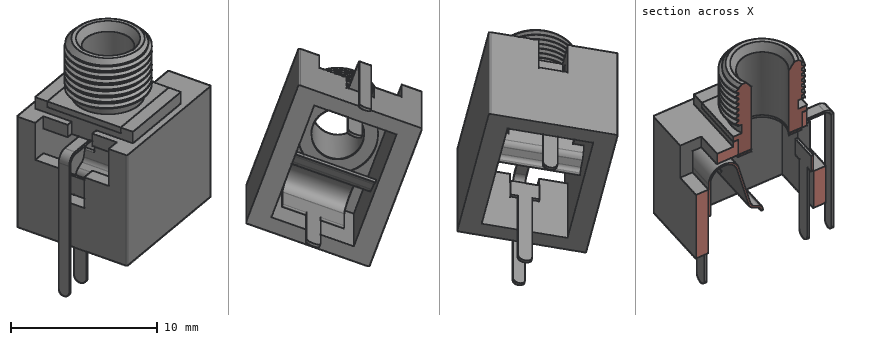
import cadquery as cq
import math


BODY_WIDTH = 9.0
BODY_HEIGHT = 9.0
BODY_FRONT = -4.5
BODY_REAR = 6.0
BODY_EDGE_RADIUS = 0.1
WALL = 1.0
HUMP_WIDTH = 8.0
HUMP_DEPTH = 6.0
HUMP_HEIGHT = 0.94
CAVITY_WIDTH = 6.0
SLOT_WIDTH = 2.02
FRONT_WINDOW_FLOOR = 6.0
FRONT_SLOT_FLOOR = 3.5
REAR_SLOT_FLOOR = 6.0
REAR_SLOT_FRONT = 4.28

ROOF_BOTTOM = BODY_HEIGHT - WALL
HUMP_TOP = BODY_HEIGHT + HUMP_HEIGHT
CAVITY_FRONT = BODY_FRONT + WALL
CAVITY_REAR = BODY_REAR - WALL

BORE_DIAMETER = 3.6
SPIGOT_DIAMETER = 5.5
FLANGE_SIZE = CAVITY_WIDTH
FLANGE_THICKNESS = 0.47
NECK_DIAMETER = 5.0
NECK_HEIGHT = 0.75
BUSHING_TOP = 14.5
MOUTH_DIAMETER = 4.4
MOUTH_DEPTH = 0.61
TOP_DIAMETER = 5.0

THREAD_DIAMETER = 6.01
THREAD_CORE_DIAMETER = 5.5
THREAD_PITCH = 0.5
THREAD_BASE = 0.45
THREAD_CREST = 0.07
THREAD_ROOT_OVERLAP = 0.05
THREAD_FIRST_CREST = 0.15
THREAD_TURNS = 9
THREAD_CLEARANCE = 0.18

FLANGE_BOTTOM = HUMP_TOP - FLANGE_THICKNESS
THREAD_BOTTOM = HUMP_TOP + NECK_HEIGHT
THREAD_START = THREAD_BOTTOM + THREAD_FIRST_CREST - THREAD_PITCH

SHEET = 0.2
PIN_BOTTOM = -3.5
PIN_WIDTH = 1.0
SHOULDER_HEIGHT = FRONT_SLOT_FLOOR
SWITCH_TOP = 5.0

SLEEVE_PIN_WIDTH = 0.85
SLEEVE_PIN_OUTSIDE = -5.5
SLEEVE_BEND_RADIUS = 0.75

TIP_WIDTH = 4.5
TIP_TOP = 7.74
TIP_BEND_RADIUS = 1.26
TIP_LEAN = math.radians(14)
TIP_KINK_Z = 2.95
NOSE_WIDTH = CAVITY_WIDTH
NOSE_SHOULDER = 0.54
NOSE_FLAT_START = (1.39, 2.57)
NOSE_FLAT_END = (0.94, 2.35)
NOSE_TIP = (0.65, 1.93)


def block(x_size, y_min, y_max, z_min, z_max):
    """Box centred on X = 0."""
    return cq.Workplane("XY").box(
        x_size, y_max - y_min, z_max - z_min, centered=(True, False, False)
    ).translate((0, y_min, z_min))


def disc(diameter, z_min, z_max):
    """Cylinder on the Z axis."""
    return cq.Workplane("XY", origin=(0, 0, z_min)).circle(diameter / 2).extrude(z_max - z_min)


def make_housing():
    body = block(BODY_WIDTH, BODY_FRONT, BODY_REAR, 0, BODY_HEIGHT)
    body = body.edges("|Z").fillet(BODY_EDGE_RADIUS)
    half_hump = HUMP_DEPTH / 2
    body = body.union(block(HUMP_WIDTH, -half_hump, half_hump, BODY_HEIGHT, HUMP_TOP))

    body = body.cut(block(CAVITY_WIDTH, CAVITY_FRONT, CAVITY_REAR, 0, ROOF_BOTTOM))

    body = body.cut(block(CAVITY_WIDTH, BODY_FRONT, CAVITY_FRONT, FRONT_WINDOW_FLOOR, BODY_HEIGHT))
    body = body.cut(block(SLOT_WIDTH, BODY_FRONT, CAVITY_FRONT, FRONT_SLOT_FLOOR, FRONT_WINDOW_FLOOR))
    body = body.cut(block(SLOT_WIDTH, CAVITY_FRONT, -half_hump, ROOF_BOTTOM, BODY_HEIGHT))

    body = body.cut(block(SLOT_WIDTH, REAR_SLOT_FRONT, BODY_REAR, REAR_SLOT_FLOOR, BODY_HEIGHT))

    body = body.cut(block(FLANGE_SIZE, -half_hump, half_hump, FLANGE_BOTTOM, HUMP_TOP))
    return body.cut(disc(SPIGOT_DIAMETER, ROOF_BOTTOM, HUMP_TOP))


def make_thread_ridge():
    """Right-handed ridge, longer than the thread at both ends."""
    inner = THREAD_CORE_DIAMETER / 2 - THREAD_ROOT_OVERLAP
    outer = THREAD_DIAMETER / 2
    half_base = THREAD_BASE / 2
    half_crest = THREAD_CREST / 2
    path = cq.Wire.makeHelix(THREAD_PITCH, THREAD_PITCH * THREAD_TURNS, inner)
    ridge = (
        cq.Workplane("XZ")
        .polyline([(inner, -half_base), (outer, -half_crest), (outer, half_crest), (inner, half_base)])
        .close()
        .sweep(cq.Workplane(obj=path), isFrenet=True)
    )
    return ridge.translate((0, 0, THREAD_START))


def make_bushing():
    envelope_diameter = THREAD_DIAMETER + 2 * THREAD_CLEARANCE
    chamfer = (envelope_diameter - TOP_DIAMETER) / 2
    envelope = disc(envelope_diameter, THREAD_BOTTOM, BUSHING_TOP).faces(">Z").chamfer(chamfer)
    core = disc(THREAD_CORE_DIAMETER, THREAD_BOTTOM, BUSHING_TOP)
    threaded = core.union(make_thread_ridge()).intersect(envelope)

    half_flange = FLANGE_SIZE / 2
    bushing = disc(SPIGOT_DIAMETER, ROOF_BOTTOM, FLANGE_BOTTOM)
    bushing = bushing.union(block(FLANGE_SIZE, -half_flange, half_flange, FLANGE_BOTTOM, HUMP_TOP))
    bushing = bushing.union(disc(NECK_DIAMETER, HUMP_TOP, THREAD_BOTTOM))
    bushing = bushing.union(threaded)

    bushing = bushing.cut(disc(BORE_DIAMETER, ROOF_BOTTOM, BUSHING_TOP))
    mouth = (
        cq.Workplane("XY", origin=(0, 0, BUSHING_TOP))
        .circle(MOUTH_DIAMETER / 2)
        .workplane(offset=-MOUTH_DEPTH)
        .circle(BORE_DIAMETER / 2)
        .loft()
    )
    return bushing.cut(mouth)


def make_pin(width, y_min, z_top):
    """Flat vertical pin with a fully rounded lower end."""
    half = width / 2
    return (
        cq.Workplane("XZ", origin=(0, y_min, 0))
        .moveTo(-half, z_top)
        .lineTo(-half, PIN_BOTTOM + half)
        .threePointArc((0, PIN_BOTTOM), (half, PIN_BOTTOM + half))
        .lineTo(half, z_top)
        .close()
        .extrude(-SHEET)
    )


def make_sleeve_terminal():
    """Ring under the bushing with a tab that bends down into a pin."""
    top = ROOF_BOTTOM
    bottom = top - SHEET
    bend_y = SLEEVE_PIN_OUTSIDE + SLEEVE_BEND_RADIUS
    bend_z = top - SLEEVE_BEND_RADIUS
    inner_radius = SLEEVE_BEND_RADIUS - SHEET
    tab_end = -(BORE_DIAMETER + SPIGOT_DIAMETER) / 4
    diagonal = math.sqrt(0.5)
    tab = (
        cq.Workplane("YZ")
        .moveTo(tab_end, top)
        .lineTo(bend_y, top)
        .threePointArc(
            (bend_y - diagonal * SLEEVE_BEND_RADIUS, bend_z + diagonal * SLEEVE_BEND_RADIUS),
            (SLEEVE_PIN_OUTSIDE, bend_z),
        )
        .lineTo(SLEEVE_PIN_OUTSIDE + SHEET, bend_z)
        .threePointArc(
            (bend_y - diagonal * inner_radius, bend_z + diagonal * inner_radius),
            (bend_y, bottom),
        )
        .lineTo(tab_end, bottom)
        .close()
        .extrude(SLEEVE_PIN_WIDTH / 2, both=True)
    )
    ring = disc(SPIGOT_DIAMETER, bottom, top).cut(disc(BORE_DIAMETER, bottom, top))
    return ring.union(tab).union(make_pin(SLEEVE_PIN_WIDTH, SLEEVE_PIN_OUTSIDE, bend_z))


def make_switch_terminal():
    """Flat blade on the inside of the front wall."""
    blade = block(SLOT_WIDTH, CAVITY_FRONT, CAVITY_FRONT + SHEET, SHOULDER_HEIGHT, SWITCH_TOP)
    return blade.union(make_pin(PIN_WIDTH, CAVITY_FRONT, SHOULDER_HEIGHT))


def make_tip_terminal():
    """Blade on the rear wall that folds over into a leaning spring leaf with a rounded nose."""
    radius = TIP_BEND_RADIUS - SHEET / 2
    blade_y = CAVITY_REAR - SHEET / 2
    bend_y = CAVITY_REAR - TIP_BEND_RADIUS
    bend_z = TIP_TOP - TIP_BEND_RADIUS
    leaf_y = bend_y - radius * math.cos(TIP_LEAN)
    leaf_z = bend_z + radius * math.sin(TIP_LEAN)
    kink_y = leaf_y - (leaf_z - TIP_KINK_Z) * math.tan(TIP_LEAN)
    leaf_line = (
        cq.Workplane("YZ")
        .moveTo(blade_y, SHOULDER_HEIGHT)
        .lineTo(blade_y, bend_z)
        .threePointArc((bend_y, bend_z + radius), (leaf_y, leaf_z))
        .lineTo(kink_y, TIP_KINK_Z)
    )
    nose_line = (
        cq.Workplane("YZ")
        .moveTo(kink_y + NOSE_SHOULDER * math.tan(TIP_LEAN), TIP_KINK_Z + NOSE_SHOULDER)
        .lineTo(kink_y, TIP_KINK_Z)
        .tangentArcPoint(NOSE_FLAT_START, relative=False)
        .lineTo(*NOSE_FLAT_END)
        .tangentArcPoint(NOSE_TIP, relative=False)
    )
    leaf = leaf_line.offset2D(SHEET / 2).extrude(TIP_WIDTH / 2, both=True)
    nose = nose_line.offset2D(SHEET / 2).extrude(NOSE_WIDTH / 2, both=True)
    pin = make_pin(PIN_WIDTH, CAVITY_REAR - SHEET, SHOULDER_HEIGHT)
    return leaf.union(nose).union(pin)


housing = make_housing()
bushing = make_bushing()
sleeve_terminal = make_sleeve_terminal()
switch_terminal = make_switch_terminal()
tip_terminal = make_tip_terminal()

result = cq.Compound.makeCompound([
    housing.val(),
    bushing.val(),
    sleeve_terminal.val(),
    switch_terminal.val(),
    tip_terminal.val(),
])